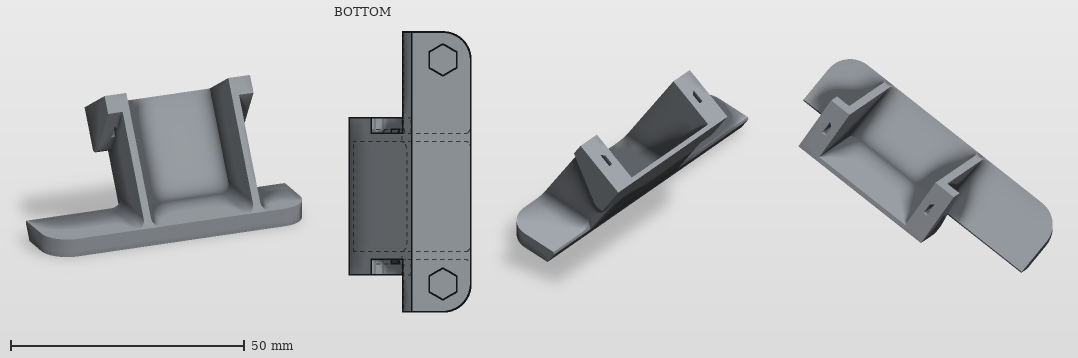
import cadquery as cq
import math


base_length = 60.0
base_height = 4.0
base_corner_radius = 6.0
bevel_start_height = 3.4
bevel_angle = 75.0

lean_angle = 60.0
overall_height = 29.75
holder_depth = 12.95
holder_center_y = 5.2
holder_width = 27.0
channel_width = 23.65
back_thickness = 1.0
fillet_radius = 2.0

lug_width = 33.7
lug_bottom = 15.0
lug_right_height = 26.35
lug_bend_radius = 2.0

slot_start = 5.8
slot_outer_end = 8.95
slot_inner_end = 8.15
slot_width = 0.9
slot_depth = 9.6

insert_spacing = 48.0
insert_x = -6.0
insert_across_flats = 5.9

cos_lean = math.cos(math.radians(lean_angle))
sin_lean = math.sin(math.radians(lean_angle))
tan_lean = math.tan(math.radians(lean_angle))
top_right_x = -(overall_height - base_height) / tan_lean
top_left_x = top_right_x - holder_depth * sin_lean
top_left_z = overall_height - holder_depth * cos_lean


def left_face_x(z):
    """X of the holder's leaning left face at height z."""
    return top_left_x + (top_left_z - z) / tan_lean


def right_face_x(z):
    """X of the holder's leaning right face at height z."""
    return -(z - base_height) / tan_lean


def extrude_along_y(points, width, center_y):
    """Prism with an XZ outline, centred on center_y."""
    prism = cq.Workplane("XZ").polyline(points).close().extrude(width / 2, both=True)
    return prism.translate((0, center_y, 0))


fillet_top = base_height + fillet_radius
bevel_x = left_face_x(bevel_start_height)


def beveled_edge_x(z):
    """X of the inward-leaning bevel on the left edge of the base at height z."""
    return bevel_x + (z - bevel_start_height) / math.tan(math.radians(bevel_angle))


def make_base():
    outline = [
        (left_face_x(0), 0),
        (0, 0),
        (0, base_height),
        (beveled_edge_x(base_height), base_height),
        (bevel_x, bevel_start_height),
    ]
    base = extrude_along_y(outline, base_length, 0)
    return base.edges("|Z and >X").fillet(base_corner_radius)


def make_holder_block():
    outline = [
        (left_face_x(0), 0),
        (0, 0),
        (0, base_height),
        (top_right_x, overall_height),
        (top_left_x, top_left_z),
    ]
    return extrude_along_y(outline, holder_width, holder_center_y)


def make_lugs():
    right_x = right_face_x(lug_right_height)
    bend_x = right_x - (lug_right_height - lug_bottom) / tan_lean
    outline = [
        (left_face_x(lug_bottom), lug_bottom),
        (bend_x, lug_bottom),
        (right_x, lug_right_height),
        (top_right_x, overall_height),
        (top_left_x, top_left_z),
    ]
    lugs = extrude_along_y(outline, lug_width, holder_center_y)
    bend_edge = cq.selectors.NearestToPointSelector((bend_x, holder_center_y, lug_bottom))
    return lugs.edges("|Y").edges(bend_edge).fillet(lug_bend_radius)


def make_outer_fillets():
    """Concave fillets between the base and the outer sides of the holder."""
    half_width = holder_width / 2
    foot_y = half_width + fillet_radius
    arc_offset = fillet_radius * (1 - math.sqrt(0.5))
    profile = (
        cq.Workplane("YZ")
        .moveTo(-foot_y, base_height)
        .threePointArc((-half_width - arc_offset, base_height + arc_offset), (-half_width, fillet_top))
        .lineTo(half_width, fillet_top)
        .threePointArc((half_width + arc_offset, base_height + arc_offset), (foot_y, base_height))
        .close()
    )
    strip = profile.extrude(bevel_x).translate((0, holder_center_y, 0))
    limits = [
        (beveled_edge_x(base_height), base_height),
        (0, base_height),
        (right_face_x(fillet_top), fillet_top),
        (beveled_edge_x(fillet_top), fillet_top),
    ]
    return strip.intersect(extrude_along_y(limits, base_length, 0))


def make_channel():
    """Space between the side walls, rounded along the floor and bounded by the back plate."""
    height = overall_height - base_height
    channel = (
        cq.Workplane("XY")
        .box(-top_left_x, channel_width, height, centered=(False, True, False))
        .edges("|X and <Z")
        .fillet(fillet_radius)
        .translate((top_left_x, holder_center_y, base_height))
    )
    back_shift = back_thickness / sin_lean
    limits = [
        (left_face_x(base_height) + back_shift, base_height),
        (0, base_height),
        (0, overall_height),
        (left_face_x(overall_height) + back_shift, overall_height),
    ]
    return channel.intersect(extrude_along_y(limits, channel_width, holder_center_y))


def make_slot(side):
    """Trapezoidal slot beside a side wall; side is +1 or -1 along Y."""
    end_face = cq.Plane(
        origin=(top_left_x, holder_center_y, top_left_z),
        xDir=(sin_lean, 0, cos_lean),
        normal=(-cos_lean, 0, sin_lean),
    )
    inner_y = side * holder_width / 2
    outer_y = side * (holder_width / 2 + slot_width)
    outline = [
        (slot_start, inner_y),
        (slot_inner_end, inner_y),
        (slot_outer_end, outer_y),
        (slot_start, outer_y),
    ]
    return cq.Workplane(end_face).polyline(outline).close().extrude(-slot_depth)


def make_insert(y):
    """Hexagonal insert filling the full height of the base, with flats facing X."""
    across_corners = insert_across_flats / math.cos(math.radians(30))
    insert = cq.Workplane("XY").polygon(6, across_corners).extrude(base_height)
    return insert.rotate((0, 0, 0), (0, 0, 1), 30).translate((insert_x, y, 0))


inserts = [make_insert(side * insert_spacing / 2) for side in (-1, 1)]

bracket = make_base().union(make_holder_block()).union(make_lugs()).union(make_outer_fillets())
bracket = bracket.cut(make_channel())
for side in (-1, 1):
    bracket = bracket.cut(make_slot(side))
for insert in inserts:
    bracket = bracket.cut(insert)

result = cq.Compound.makeCompound([bracket.solids().val(), *[insert.val() for insert in inserts]])